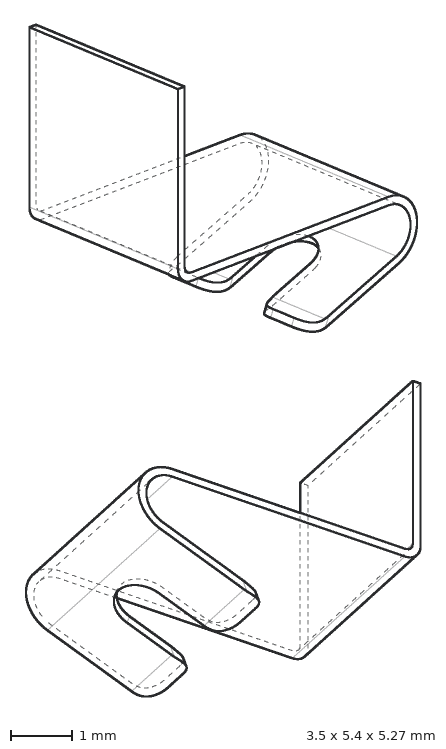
import cadquery as cq
import math

width = 3.5
depth = 5.4
total_height = 5.27
thickness = 0.15

wall_height = 3.5
corner_radius = 0.3
hook_radius = 0.65
tip_radius = 0.6
tip_rise_angle = 23.0

bend_spacing = 1.595
notch_width = 1.005
notch_setback = 0.31
foot_corner_radius = 0.38

web_bottom = total_height - wall_height
web_top = web_bottom + thickness
corner_center = (corner_radius, web_bottom + corner_radius)
hook_center = (depth - hook_radius, web_top - hook_radius)
tip_center = (hook_center[0] - bend_spacing, tip_radius)

drop = hook_center[1] - tip_center[1]
center_distance = math.hypot(bend_spacing, drop)
radius_change = hook_radius - tip_radius
arm_angle = math.degrees(
    math.atan2(drop, bend_spacing) - math.asin(radius_change / center_distance)
)
arm_normal_angle = 270 + arm_angle
tip_end_angle = 270 - tip_rise_angle


def polar(center, radius, degrees):
    """Point at an angle measured from +Y towards +Z."""
    angle = math.radians(degrees)
    return (center[0] + radius * math.cos(angle), center[1] + radius * math.sin(angle))


def add_arc(profile, center, radius, start, end):
    """Continue the outline from its current point at the start angle."""
    return profile.threePointArc(polar(center, radius, (start + end) / 2), polar(center, radius, end))


def make_strip():
    """Bent sheet profile in the YZ plane, extruded across the full width."""
    inner_corner = corner_radius - thickness
    inner_hook = hook_radius - thickness
    inner_tip = tip_radius - thickness

    profile = cq.Workplane("YZ").moveTo(thickness, total_height).lineTo(thickness, corner_center[1])
    profile = add_arc(profile, corner_center, inner_corner, 180, 270)
    profile = profile.lineTo(hook_center[0], web_top)
    profile = add_arc(profile, hook_center, hook_radius, 90, arm_normal_angle - 360)
    profile = profile.lineTo(*polar(tip_center, tip_radius, arm_normal_angle))
    profile = add_arc(profile, tip_center, tip_radius, arm_normal_angle, tip_end_angle)
    profile = profile.lineTo(*polar(tip_center, inner_tip, tip_end_angle))
    profile = add_arc(profile, tip_center, inner_tip, tip_end_angle, arm_normal_angle)
    profile = profile.lineTo(*polar(hook_center, inner_hook, arm_normal_angle))
    profile = add_arc(profile, hook_center, inner_hook, arm_normal_angle - 360, 90)
    profile = profile.lineTo(corner_center[0], web_bottom)
    profile = add_arc(profile, corner_center, corner_radius, 270, 180)
    profile = profile.lineTo(0, total_height).close()
    return profile.extrude(width / 2, both=True)


def make_notch_cutter():
    """Round-topped notch through the arm, open at the tip."""
    start = polar(hook_center, hook_radius, arm_normal_angle)
    normal = polar((0, 0), 1, arm_normal_angle)
    along = (normal[1], -normal[0])
    arm_plane = cq.Plane(origin=(0, *start), xDir=(0, *along), normal=(0, *normal))
    notch_radius = notch_width / 2
    arc_end = notch_setback + notch_radius
    open_end = 2 * center_distance
    return (
        cq.Workplane(arm_plane)
        .moveTo(open_end, -notch_radius)
        .lineTo(arc_end, -notch_radius)
        .threePointArc((notch_setback, 0), (arc_end, notch_radius))
        .lineTo(open_end, notch_radius)
        .close()
        .extrude(2 * thickness, both=True)
    )


def round_feet(body):
    """Round the corners of both feet at the end of the curled tip."""
    end_center = polar(tip_center, tip_radius - thickness / 2, tip_end_angle)
    half_box = thickness
    lower = (-width, end_center[0] - half_box, end_center[1] - half_box)
    upper = (width, end_center[0] + half_box, end_center[1] + half_box)
    end_direction = polar((0, 0), 1, tip_end_angle)
    corners = body.edges(cq.selectors.ParallelDirSelector(cq.Vector(0, *end_direction)))
    corners = corners.edges(cq.selectors.BoxSelector(lower, upper))
    return corners.fillet(foot_corner_radius)


result = round_feet(make_strip().cut(make_notch_cutter()))